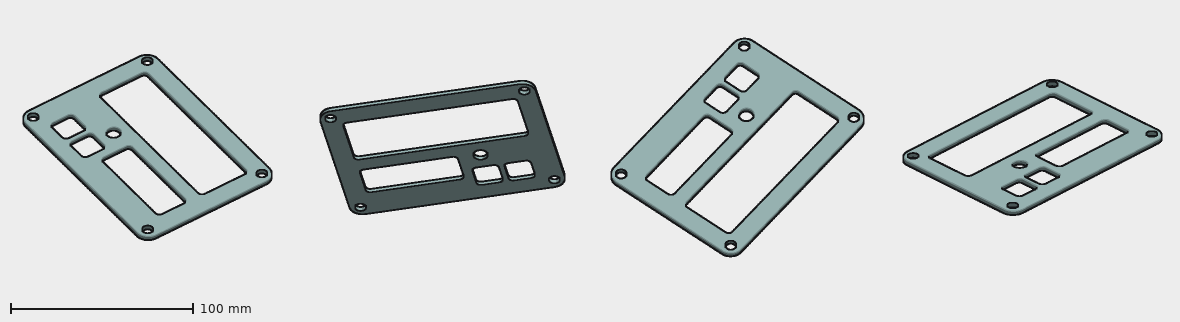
import cadquery as cq

length = 121.0
width = 89.0
thickness = 3.0
corner_radius = 7.5
edge_round = 1.0

mount_diameter = 6.0
mount_x = 54.5
mount_y = 38.4

window_corner_radius = 2.5
display_length = 98.0
display_width = 31.8
display_y = 17.2

side_window_length = 55.0
side_window_width = 19.5
side_window_x = 21.0
side_window_y = -17.3

button_size = 14.9
button_pitch = 18.0
left_button_x = -37.5
left_button_y = -26.7
right_button_y = -26.6

round_hole_diameter = 8.0
round_hole_x = -19.4
round_hole_y = -9.2


def rounded_block(x, y, block_length, block_width, radius):
    """Full-thickness block with rounded vertical corners."""
    block = cq.Workplane("XY").center(x, y).rect(block_length, block_width).extrude(thickness)
    return block.edges("|Z").fillet(radius)


def window(x, y, window_length, window_width):
    """Cutter for a rectangular opening with rounded corners."""
    return rounded_block(x, y, window_length, window_width, window_corner_radius)


plate = rounded_block(0, 0, length, width, corner_radius)

round_hole = (
    cq.Workplane("XY")
    .center(round_hole_x, round_hole_y)
    .circle(round_hole_diameter / 2)
    .extrude(thickness)
)

openings = [
    window(0, display_y, display_length, display_width),
    window(side_window_x, side_window_y, side_window_length, side_window_width),
    window(left_button_x, left_button_y, button_size, button_size),
    window(left_button_x + button_pitch, right_button_y, button_size, button_size),
    round_hole,
]
for opening in openings:
    plate = plate.cut(opening)

plate = plate.faces(">Z").edges().fillet(edge_round)

mounting_holes = (
    cq.Workplane("XY")
    .rect(2 * mount_x, 2 * mount_y, forConstruction=True)
    .vertices()
    .circle(mount_diameter / 2)
    .extrude(thickness)
)
result = plate.cut(mounting_holes)